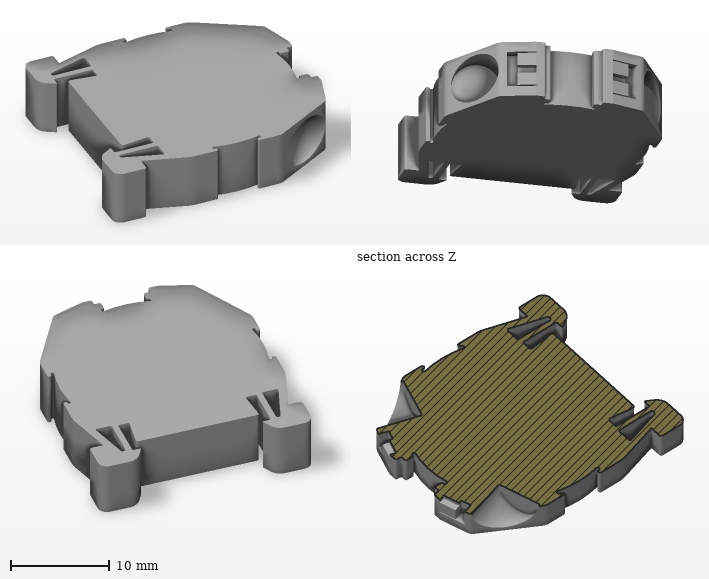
import cadquery as cq
import math

thickness = 5.9
half_width = 11.5
top_y = 12.85
bottom_y = -13.55

bulge_radius = 11.0
notch_bulge_y = 0.05
side_bulge_y = 0.25

notch_mouth_x = 3.03
notch_lip_x = 2.29
notch_undercut_x = 2.65
notch_lip_top_y = 12.15
notch_lip_bottom_y = 11.12
notch_floor_y = notch_bulge_y + math.sqrt(bulge_radius**2 - notch_undercut_x**2)
notch_round = 0.2

roof_start_x = 4.05
flank_bottom_y = 4.97
shoulder_y = 11.75
flank_angle = math.radians(60)
shoulder_x = half_width - (shoulder_y - flank_bottom_y) / math.tan(flank_angle)
roof_angle = math.atan2(top_y - shoulder_y, shoulder_x - roof_start_x)
roof_round = 0.3
shoulder_round = 1.0
flank_round = 1.5

bay_top_y = 2.43
bay_bottom_y = -2.08
bay_wall = 0.42
bay_slot_reach = 2.7
bay_slot_top_y = side_bulge_y + bay_slot_reach
bay_slot_bottom_y = side_bulge_y - bay_slot_reach
bay_slot_x = math.sqrt(bulge_radius**2 - bay_slot_reach**2)
bay_tip_round = 0.2
bay_slot_round = 0.2

leg_angle = math.radians(16.8)
leg_start_y = -5.08
leg_start_round = 3.0
foot_top_y = -10.08
leg_end_x = half_width - (leg_start_y - foot_top_y) * math.tan(leg_angle)
foot_round = 1.0
foot_top_round = 0.25
foot_toe_x = 7.53
toe_angle = math.radians(60)
toe_round = 1.5
hook_y = -11.85
hook_tip_x = foot_toe_x - (hook_y - bottom_y) / math.tan(toe_angle)
hook_inner_x = 7.48
small_round = 0.15
tip_round = 0.08

groove_top_y = -7.49
groove_top_x = 6.27
block_bottom_y = -10.67
block_bottom_x = 6.66
block_round = 0.25

window_top_y = -7.31
window_bottom_y = -11.69
window_inner_x = 8.13
window_top_x = 9.92
window_bottom_x = window_top_x - (window_top_y - window_bottom_y) * math.tan(leg_angle)
window_round = 0.18

hole_radius = 2.5
hole_center_y = 8.65
hole_center_x = half_width - (hole_center_y - flank_bottom_y) / math.tan(flank_angle)
hole_depth = 2.65
hole_lead = 6.0

recess_length = 3.0
recess_depth = 1.1
recess_width = 3.75
insert_length = 1.9
insert_width = 3.5
slot_width = 0.8
slot_depth = 0.7
cutter_lead = 1.0


def rounded_prism(corners):
    """Extrude a closed outline given as (x, y, corner radius), centred on Z = 0."""
    starts, middles, ends = [], [], []
    count = len(corners)
    for i, (x, y, radius) in enumerate(corners):
        corner = cq.Vector(x, y, 0)
        before = cq.Vector(*corners[i - 1][:2], 0)
        after = cq.Vector(*corners[(i + 1) % count][:2], 0)
        to_before = (before - corner).normalized()
        to_after = (after - corner).normalized()
        half_angle = to_before.getAngle(to_after) / 2
        setback = radius / math.tan(half_angle)
        bisector = (to_before + to_after).normalized()
        starts.append(corner + to_before * setback)
        middles.append(corner + bisector * (radius / math.sin(half_angle) - radius))
        ends.append(corner + to_after * setback)

    outline = cq.Workplane("XY", origin=(0, 0, -thickness / 2)).moveTo(ends[-1].x, ends[-1].y)
    for corner, start, middle, end in zip(corners, starts, middles, ends):
        outline = outline.lineTo(start.x, start.y)
        if corner[2] > 0:
            outline = outline.threePointArc((middle.x, middle.y), (end.x, end.y))
    return outline.close().extrude(thickness)


def both_sides(solid):
    """Join a left-hand solid with its mirror image about X = 0."""
    return solid.union(solid.mirror("YZ"))


def make_body():
    bay_x = half_width - bay_wall
    left = [
        (-notch_undercut_x, notch_floor_y, 0),
        (-notch_undercut_x, notch_lip_bottom_y, 0),
        (-notch_lip_x, notch_lip_bottom_y, tip_round),
        (-notch_lip_x, notch_lip_top_y, notch_round),
        (-notch_mouth_x, notch_lip_top_y, notch_round),
        (-notch_mouth_x, top_y, notch_round),
        (-roof_start_x, top_y, roof_round),
        (-shoulder_x, shoulder_y, shoulder_round),
        (-half_width, flank_bottom_y, flank_round),
        (-half_width, bay_top_y, bay_tip_round),
        (-bay_x, bay_top_y, bay_tip_round),
        (-bay_x, bay_slot_top_y, bay_slot_round),
        (-bay_slot_x, bay_slot_top_y, bay_slot_round),
        (-bay_slot_x, bay_slot_bottom_y, bay_slot_round),
        (-bay_x, bay_slot_bottom_y, bay_slot_round),
        (-bay_x, bay_bottom_y, 0),
        (-half_width, bay_bottom_y, small_round),
        (-half_width, leg_start_y, leg_start_round),
        (-leg_end_x, foot_top_y, 0),
        (-half_width, foot_top_y, foot_top_round),
        (-half_width, bottom_y, foot_round),
        (-foot_toe_x, bottom_y, toe_round),
        (-hook_tip_x, hook_y, tip_round),
        (-hook_inner_x, hook_y, small_round),
        (-hook_inner_x, groove_top_y, 0),
        (-groove_top_x, groove_top_y, small_round),
        (-block_bottom_x, block_bottom_y, block_round),
    ]
    right = [(-x, y, radius) for x, y, radius in reversed(left)]
    return rounded_prism(left + right)


def bulge_disc(center_y):
    return cq.Workplane("XY").center(0, center_y).circle(bulge_radius).extrude(thickness / 2, both=True)


def make_side_bulges():
    """Disc segment between the upper and lower ends of the side bays."""
    kept = cq.Workplane("XY").box(2 * bulge_radius, 2 * bay_slot_reach, thickness)
    return bulge_disc(side_bulge_y).intersect(kept.translate((0, side_bulge_y, 0)))


def make_notch_bulge():
    """Upper disc segment between the undercut corners of the top notch."""
    kept = cq.Workplane("XY").box(2 * notch_undercut_x, bulge_radius, thickness)
    return bulge_disc(notch_bulge_y).intersect(kept.translate((0, notch_bulge_y + bulge_radius / 2, 0)))


def make_window():
    return rounded_prism([
        (-window_top_x, window_top_y, window_round),
        (-window_bottom_x, window_bottom_y, window_round),
        (-window_inner_x, window_bottom_y, window_round),
        (-window_inner_x, window_top_y, window_round),
    ])


def roof_plane(x, y):
    """Plane parallel to the left roof: local X climbs the roof, local Z points out of it."""
    uphill = (math.cos(roof_angle), math.sin(roof_angle), 0)
    outward = (-math.sin(roof_angle), math.cos(roof_angle), 0)
    return cq.Plane(origin=(x, y, 0), xDir=uphill, normal=outward)


def make_wire_hole():
    hole = cq.Workplane(roof_plane(-hole_center_x, hole_center_y)).workplane(offset=-hole_depth)
    return hole.circle(hole_radius).extrude(hole_depth + hole_lead)


def roof_box(length, width, bottom, top):
    """Box ending at the upper end of the roof, between two heights measured from the roof."""
    base = cq.Workplane(roof_plane(-roof_start_x, top_y)).workplane(offset=bottom)
    return base.center(-length / 2, 0).rect(length, width).extrude(top - bottom)


def make_roof_recess():
    recess = roof_box(recess_length, recess_width, -recess_depth, cutter_lead)
    insert = roof_box(insert_length, insert_width, -recess_depth, 0)
    slot = roof_box(insert_length, slot_width, -slot_depth, cutter_lead)
    return recess.cut(insert.cut(slot))


result = make_body().union(make_side_bulges()).union(make_notch_bulge()).clean()
for make_cutter in (make_window, make_wire_hole, make_roof_recess):
    result = result.cut(both_sides(make_cutter()))